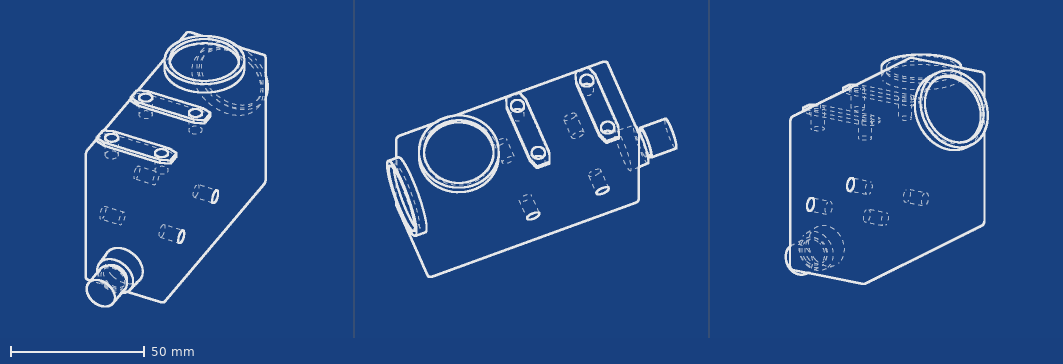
import cadquery as cq

HOUSING_WIDTH = 33.0
HOUSING_LENGTH = 85.5
HOUSING_HEIGHT = 60.8
CROSS_EDGE_RADIUS = 2.0
SIDE_EDGE_RADIUS = 1.0

LENS_DIAMETER = 30.0
LENS_WINDOW_DIAMETER = 26.1
LENS_HEIGHT = 4.0
LENS_RECESS_DEPTH = 2.0
LENS_SETBACK = 19.0

PAD_LENGTH = HOUSING_WIDTH - 2 * SIDE_EDGE_RADIUS
PAD_FLAT_LENGTH = 23.5
PAD_WIDTH = 7.8
PAD_END_WIDTH = 5.1
PAD_HEIGHT = 1.5
MOUNT_HOLE_DIAMETER = 5.0
MOUNT_HOLE_DEPTH = 8.0
MOUNT_PITCH = 28.0
PAD_HOLE_SPACING = 21.0
FRONT_PAD_Y = 10.5
FRONT_SIDE_HOLE_Y = 15.0
SIDE_HOLE_Z = 22.0

CONNECTOR_Z = 12.8
COLLAR_BASE_DIAMETER = 16.0
COLLAR_TIP_DIAMETER = 15.2
COLLAR_LENGTH = 7.2
NECK_DIAMETER = 10.0
NECK_LENGTH = 2.0
PLUG_DIAMETER = 12.0
PLUG_LENGTH = 10.0


def housing():
    """Rounded block that carries all other features."""
    block = cq.Workplane("XY").box(
        HOUSING_WIDTH, HOUSING_LENGTH, HOUSING_HEIGHT, centered=(True, False, False)
    )
    block = block.edges("|X").fillet(CROSS_EDGE_RADIUS)
    return block.faces("<X or >X").edges().fillet(SIDE_EDGE_RADIUS)


def lens(base_point, direction):
    """Raised disc with a shallow round recess, standing on base_point."""
    plane = cq.Plane(origin=base_point, xDir=(1, 0, 0), normal=direction)
    disc = cq.Workplane(plane).circle(LENS_DIAMETER / 2).extrude(LENS_HEIGHT)
    window = (
        cq.Workplane(plane)
        .workplane(offset=LENS_HEIGHT - LENS_RECESS_DEPTH)
        .circle(LENS_WINDOW_DIAMETER / 2)
        .extrude(LENS_RECESS_DEPTH)
    )
    return disc.cut(window)


def mounting_pad(y):
    """Flat strip with tapered ends, lying across the top face."""
    end_x = PAD_LENGTH / 2
    flat_x = PAD_FLAT_LENGTH / 2
    end_y = PAD_END_WIDTH / 2
    flat_y = PAD_WIDTH / 2
    outline = [
        (-end_x, -end_y),
        (-flat_x, -flat_y),
        (flat_x, -flat_y),
        (end_x, -end_y),
        (end_x, end_y),
        (flat_x, flat_y),
        (-flat_x, flat_y),
        (-end_x, end_y),
    ]
    return (
        cq.Workplane("XY", origin=(0, y, HOUSING_HEIGHT))
        .polyline(outline)
        .close()
        .extrude(PAD_HEIGHT)
    )


def mounting_hole(mouth, direction):
    """Blind hole tool starting at mouth and running along direction."""
    return cq.Workplane(
        cq.Solid.makeCylinder(
            MOUNT_HOLE_DIAMETER / 2, MOUNT_HOLE_DEPTH, cq.Vector(*mouth), cq.Vector(*direction)
        )
    )


def connector():
    """Tapered collar, narrow neck and plug, turned about one axis along Y."""
    neck_start = -COLLAR_LENGTH
    plug_start = neck_start - NECK_LENGTH
    plug_end = plug_start - PLUG_LENGTH
    profile = [
        (0, 0),
        (COLLAR_BASE_DIAMETER / 2, 0),
        (COLLAR_TIP_DIAMETER / 2, neck_start),
        (NECK_DIAMETER / 2, neck_start),
        (NECK_DIAMETER / 2, plug_start),
        (PLUG_DIAMETER / 2, plug_start),
        (PLUG_DIAMETER / 2, plug_end),
        (0, plug_end),
    ]
    return (
        cq.Workplane("XY", origin=(0, 0, CONNECTOR_Z))
        .polyline(profile)
        .close()
        .revolve(360, (0, 0, 0), (0, 1, 0))
    )


result = housing().union(connector())
result = result.union(lens((0, HOUSING_LENGTH - LENS_SETBACK, HOUSING_HEIGHT), (0, 0, 1)))
result = result.union(lens((0, HOUSING_LENGTH, HOUSING_HEIGHT - LENS_SETBACK), (0, 1, 0)))

for pitch_offset in (0, MOUNT_PITCH):
    pad_y = FRONT_PAD_Y + pitch_offset
    result = result.union(mounting_pad(pad_y))
    for side in (-1, 1):
        pad_mouth = (side * PAD_HOLE_SPACING / 2, pad_y, HOUSING_HEIGHT + PAD_HEIGHT)
        result = result.cut(mounting_hole(pad_mouth, (0, 0, -1)))
        side_mouth = (side * HOUSING_WIDTH / 2, FRONT_SIDE_HOLE_Y + pitch_offset, SIDE_HOLE_Z)
        result = result.cut(mounting_hole(side_mouth, (-side, 0, 0)))